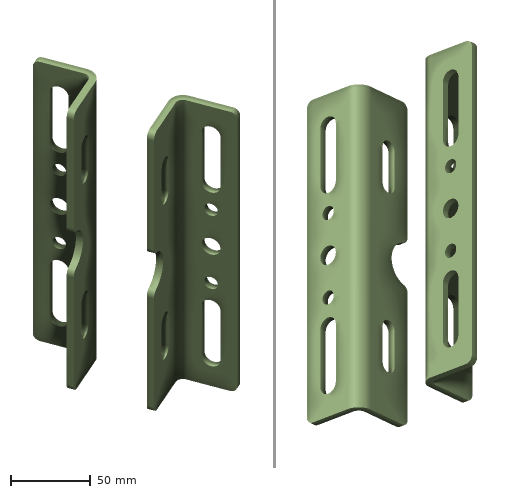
import cadquery as cq

length = 225.0
pair_width = 140.0
leg = 45.0
sheet = 5.0
bend_inner_radius = 5.0
bend_outer_radius = bend_inner_radius + sheet
corner_radius = 5.0

mount_line_inset = 18.0
mount_slot_width = 13.0
mount_slot_length = 53.0
mount_slot_offset = 70.0
small_hole_diameter = 9.5
small_hole_offset = 29.5
centre_hole_diameter = mount_slot_width

side_line_inset = 18.0
side_slot_width = 11.0
side_slot_length = 36.5
side_slot_offset = 62.5
notch_radius = 15.0

outer_x = -pair_width / 2
inner_x = outer_x + leg
front_y = -leg / 2
back_y = leg / 2
mount_line_x = outer_x + mount_line_inset
side_line_y = front_y + side_line_inset


def bent_sheet():
    """L-shaped sheet with a rounded bend, running the full height."""
    angle = (
        cq.Workplane("XY")
        .moveTo(outer_x, back_y)
        .lineTo(inner_x, back_y)
        .lineTo(inner_x, front_y)
        .lineTo(inner_x - sheet, front_y)
        .lineTo(inner_x - sheet, back_y - sheet)
        .lineTo(outer_x, back_y - sheet)
        .close()
        .extrude(length / 2, both=True)
    )
    angle = angle.edges("|Z").edges(">(1, 1, 0)").fillet(bend_outer_radius)
    inside_corner = cq.selectors.NearestToPointSelector((inner_x - sheet, back_y - sheet, 0))
    return angle.edges("|Z").edges(inside_corner).fillet(bend_inner_radius)


def mount_cutters():
    """Slots and holes that pass through the mounting flange along Y."""
    line = cq.Workplane("XZ").center(mount_line_x, 0)
    slots = (
        line.pushPoints([(0, -mount_slot_offset), (0, mount_slot_offset)])
        .slot2D(mount_slot_length, mount_slot_width, 90)
        .extrude(leg, both=True)
    )
    small_holes = (
        line.pushPoints([(0, -small_hole_offset), (0, small_hole_offset)])
        .circle(small_hole_diameter / 2)
        .extrude(leg, both=True)
    )
    centre_hole = line.circle(centre_hole_diameter / 2).extrude(leg, both=True)
    return [slots, small_holes, centre_hole]


def side_cutters():
    """Slots and edge notch that pass through the inner flange along X."""
    plane = cq.Workplane("YZ", origin=(inner_x - sheet, 0, 0))
    slots = (
        plane.pushPoints([(side_line_y, -side_slot_offset), (side_line_y, side_slot_offset)])
        .slot2D(side_slot_length, side_slot_width, 90)
        .extrude(sheet)
    )
    notch = plane.center(front_y, 0).circle(notch_radius).extrude(sheet)
    return [slots, notch]


def left_bracket():
    """Bent bracket with its openings, rounded flange corners and rounded notch mouth."""
    bracket = bent_sheet()
    for cutter in mount_cutters() + side_cutters():
        bracket = bracket.cut(cutter)
    bracket = bracket.faces("<X").edges("|Y").fillet(corner_radius)
    return bracket.faces("<Y").edges("|X").fillet(corner_radius)


def bracket_pair():
    """The left bracket and its mirror image about the middle plane."""
    left = left_bracket()
    return [left, left.mirror("YZ")]


result = cq.Compound.makeCompound([bracket.val() for bracket in bracket_pair()])